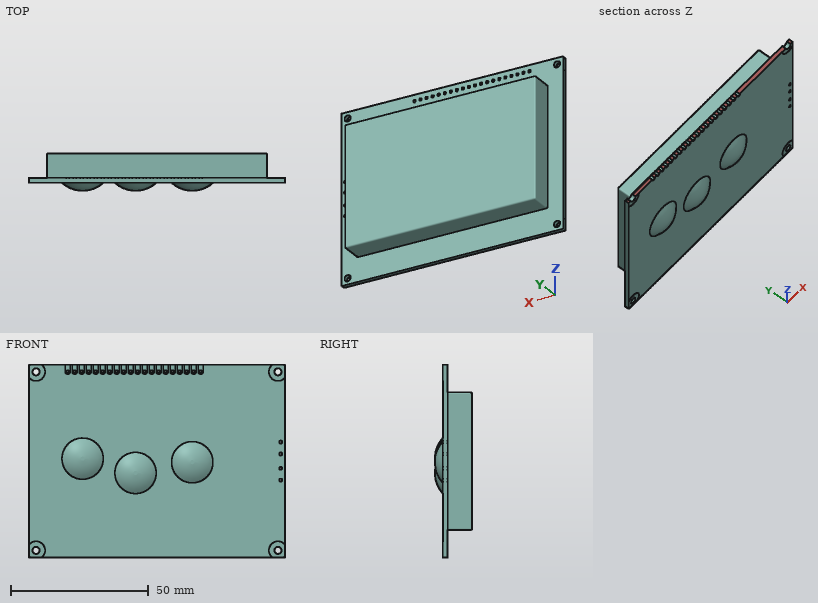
import cadquery as cq
import math

BOARD_WIDTH = 93.0
BOARD_HEIGHT = 70.0
BOARD_THICKNESS = 1.8
BOARD_CORNER_RADIUS = 0.3

MOUNT_INSET = 2.6
MOUNT_HOLE_DIAMETER = 2.5
MOUNT_LAND_DIAMETER = 6.6

COPPER_THICKNESS = 0.02

PAD_COUNT = 20
PAD_PITCH = 2.54
PAD_WIDTH = 1.75
PAD_HOLE_DIAMETER = 1.0
PAD_HOLE_INSET = 2.55
FIRST_PAD_X = -32.4

SIDE_HOLE_DIAMETER = 1.0
SIDE_HOLE_INSET = 1.6
SIDE_HOLE_INNER_OFFSET = 2.6
SIDE_HOLE_OUTER_OFFSET = 6.9

HOUSING_WIDTH = 80.0
HOUSING_HEIGHT = 50.0
HOUSING_DEPTH = 8.9
HOUSING_EDGE_RADIUS = 0.6

DOME_DIAMETER = 15.0
DOME_HEIGHT = 2.9
DOME_FLAT_DIAMETER = 1.5
DOME_CENTERS = [(-27.0, 0.9), (-7.8, -4.3), (12.8, -0.4)]

mount_x = BOARD_WIDTH / 2 - MOUNT_INSET
mount_z = BOARD_HEIGHT / 2 - MOUNT_INSET
mount_centers = [(sx * mount_x, sz * mount_z) for sx in (-1, 1) for sz in (-1, 1)]

pad_hole_z = BOARD_HEIGHT / 2 - PAD_HOLE_INSET
pad_centers = [(FIRST_PAD_X + i * PAD_PITCH, pad_hole_z) for i in range(PAD_COUNT)]

side_hole_x = BOARD_WIDTH / 2 - SIDE_HOLE_INSET
side_hole_offsets = (SIDE_HOLE_INNER_OFFSET, SIDE_HOLE_OUTER_OFFSET)
side_hole_centers = [(side_hole_x, side * offset) for offset in side_hole_offsets for side in (-1, 1)]


def front_plane(y=0.0):
    """Sketch plane at the given y: local x is X, local y is Z, normal is -Y."""
    return cq.Workplane("XZ", origin=(0, y, 0))


def board_blank(thickness):
    """Rounded rectangle whose back face is at y = 0, growing towards -Y."""
    blank = front_plane().rect(BOARD_WIDTH, BOARD_HEIGHT).extrude(thickness)
    return blank.edges("|Y").fillet(BOARD_CORNER_RADIUS)


def make_board():
    return board_blank(BOARD_THICKNESS).translate((0, BOARD_THICKNESS, 0))


def make_mount_lands():
    """Thin discs around the mounting holes, trimmed to the board outline."""
    discs = front_plane().pushPoints(mount_centers).circle(MOUNT_LAND_DIAMETER / 2).extrude(COPPER_THICKNESS)
    return discs.intersect(board_blank(COPPER_THICKNESS))


def make_pads():
    """Thin round-ended pads running from the top edge down around each pad hole."""
    strips = (
        front_plane()
        .pushPoints([(x, z + PAD_HOLE_INSET / 2) for x, z in pad_centers])
        .rect(PAD_WIDTH, PAD_HOLE_INSET)
        .extrude(COPPER_THICKNESS)
    )
    ends = front_plane().pushPoints(pad_centers).circle(PAD_WIDTH / 2).extrude(COPPER_THICKNESS)
    return strips.union(ends)


def make_housing():
    housing = (
        front_plane(BOARD_THICKNESS)
        .rect(HOUSING_WIDTH, HOUSING_HEIGHT)
        .extrude(-HOUSING_DEPTH)
    )
    return housing.edges("|Y or >Y").fillet(HOUSING_EDGE_RADIUS)


def make_dome(x, z):
    """Spherical cap with a flat tip, revolved about its own Y axis."""
    base_radius = DOME_DIAMETER / 2
    flat_radius = DOME_FLAT_DIAMETER / 2
    center_y = (base_radius**2 - flat_radius**2 - DOME_HEIGHT**2) / (2 * DOME_HEIGHT)
    sphere_radius = math.hypot(base_radius, center_y)
    mid_angle = (math.asin(base_radius / sphere_radius) + math.asin(flat_radius / sphere_radius)) / 2
    arc_mid = (sphere_radius * math.sin(mid_angle), center_y - sphere_radius * math.cos(mid_angle))
    profile = (
        cq.Workplane("XY")
        .lineTo(base_radius, 0)
        .threePointArc(arc_mid, (flat_radius, -DOME_HEIGHT))
        .lineTo(0, -DOME_HEIGHT)
        .close()
    )
    return profile.revolve(360, (0, 0), (0, 1)).translate((x, 0, z))


def make_through_holes(centers, diameter):
    """Cylinders that pass through the board and its copper."""
    length = BOARD_THICKNESS + 2 * COPPER_THICKNESS
    return front_plane(BOARD_THICKNESS).pushPoints(centers).circle(diameter / 2).extrude(length)


result = make_board().union(make_mount_lands()).union(make_pads())
result = result.cut(make_through_holes(mount_centers, MOUNT_HOLE_DIAMETER))
result = result.cut(make_through_holes(pad_centers, PAD_HOLE_DIAMETER))
result = result.cut(make_through_holes(side_hole_centers, SIDE_HOLE_DIAMETER))
result = result.union(make_housing())
for dome_x, dome_z in DOME_CENTERS:
    result = result.union(make_dome(dome_x, dome_z))